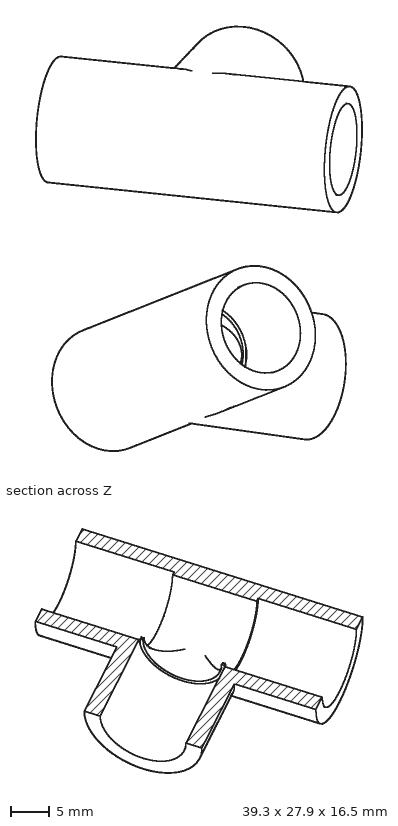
import cadquery as cq

run_length = 39.3
branch_length = 19.65
outer_diameter = 16.5
socket_diameter = 12.0
bore_diameter = 11.0
socket_depth = 13.75


def run_cylinder(diameter, start_x, length):
    """Cylinder on the X axis, starting at start_x and extending toward +X."""
    return cq.Workplane("YZ", origin=(start_x, 0, 0)).circle(diameter / 2).extrude(length)


def branch_cylinder(diameter, start_y, length):
    """Cylinder on the Y axis, starting at start_y and extending toward +Y."""
    return cq.Workplane("XZ", origin=(0, start_y, 0)).circle(diameter / 2).extrude(-length)


body = run_cylinder(outer_diameter, -run_length / 2, run_length)
body = body.union(branch_cylinder(outer_diameter, 0, branch_length))

body = body.cut(run_cylinder(bore_diameter, -run_length / 2, run_length))
body = body.cut(branch_cylinder(bore_diameter, 0, branch_length))

for socket_start in (-run_length / 2, run_length / 2 - socket_depth):
    body = body.cut(run_cylinder(socket_diameter, socket_start, socket_depth))
body = body.cut(branch_cylinder(socket_diameter, branch_length - socket_depth, socket_depth))

result = body